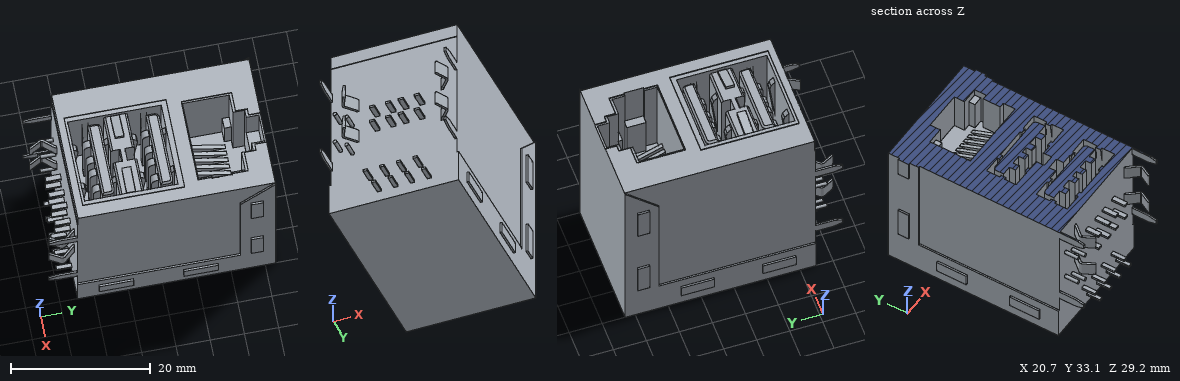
import cadquery as cq


body_width = 20.1
body_height = 28.95
body_length = 28.95
chin_depth = 0.1
chin_length = 2.25
panel_recess = 0.25
panel_height = 23.8
panel_bottom = 5.25
panel_top = 23.85

pad_long = 5.03
pad_short = 1.8
pad_thickness = 0.3
upright_pad_y = 26.2
upright_pad_z = (21.2, 8.4)
lying_pad_y = (18.0, 5.62)
lying_pad_z = 2.85

port_x = 1.0
cavity_depth = 13.23
cavity_floor = body_length - cavity_depth

net_half_width = 5.92
net_bottom = 18.25
net_top = 25.07
step_half_width = 3.18
step_top = 26.8
latch_half_width = 2.05
latch_top = 28.65
latch_depth = 5.82
lip_side = 0.25
lip_narrow = 0.1
lip_bottom = 0.13
lip_top = 0.4
lip_depth = 0.15
corner_block_width = 1.55
corner_block_height = 1.03
block_depth = 8.27
key_bottom = 20.2
key_top = 23.15
key_wall_depth = 0.43
key_block_width = 0.83
key_depth = 6.6
net_contact_count = 8
net_contact_pitch = 1.03
net_contact_width = 0.6
net_contact_end = 24.05
net_contact_rise = 2.3

frame_width = 13.83
frame_bottom = 1.15
frame_top = 16.05
frame_recess = 0.13
usb_width = 12.5
usb_bottom = 1.55
usb_top = 15.22
usb_pitch = 8.55
tip_z = 28.12
tongue_width = 11.08
upper_tongue_bottom = 12.85
tongue_thickness = 1.85
tongue_chamfer = 0.3
tongue_corner = 0.65
divider_bottom = 6.78
divider_top = 10.25
divider_chamfer = 0.3
divider_slot_width = 1.85
divider_web_bottom = 8.0
divider_web_top = 8.85
web_chamfer = 0.15
lug_bottom = 7.75
lug_top = 9.05
lug_inner = 2.45
lug_outer = 6.05
lug_peak = 29.2
lug_low = 28.5
lug_thickness = 0.5
usb_contact_x = (-3.47, -1.0, 1.0, 3.47)
usb_contact_width = 1.05
usb_contact_thickness = 1.03
usb_contact_round = 0.93
usb_contact_z = 26.07
spring_z = 27.05
spring_length = 3.97
side_spring_depth = 0.55
side_spring_width = 0.9
side_spring_y = 12.65
wall_spring_depth = 0.8
wall_spring_lead = 0.63
wall_spring_crest = 1.32
wall_spring_width = 0.9
wall_spring_x = 3.0

root = 0.5
pin_length = 2.25
flat_pin_thickness = 0.33
net_pin_pitch = 1.3
net_pin_width = 0.63
net_pin_z = (4.35, 1.85)
usb_pin_width = 0.75
usb_pin_z = (15.8, 13.15)
led_pin_diameter = 0.55
led_pin_places = ((-8.2, 16.2), (-6.4, 15.12), (-8.2, 11.08), (-6.4, 10.0))
tab_length = 4.15
tab_taper_start = 2.78
tab_thickness = 0.3
tab_width = 1.35
tab_tip_width = 0.65
tab_z = (21.17, 8.45)
clip_thickness = 0.33
clip_width = 2.12
clip_z = (18.55, 12.9)
clip_path = (
    (6.52, root),
    (6.52, 0.05),
    (6.7, -0.3),
    (8.0, -1.8),
    (8.0, -2.12),
    (7.15, -3.7),
)


def block(x_range, y_range, z_range):
    """Box spanning three (low, high) ranges."""
    corners = (x_range, y_range, z_range)
    sizes = [high - low for low, high in corners]
    lows = [low for low, high in corners]
    return cq.Workplane("XY").box(*sizes, centered=False).translate(tuple(lows))


def around(centre, size):
    """Range of the given size about a centre."""
    return (centre - size / 2, centre + size / 2)


def prism_x(points, x_range):
    """Outline of (y, z) points swept along X."""
    low, high = x_range
    return cq.Workplane("YZ", origin=(low, 0, 0)).polyline(points).close().extrude(high - low)


def prism_z(points, z_range):
    """Outline of (x, y) points swept along Z."""
    low, high = z_range
    return cq.Workplane("XY", origin=(0, 0, low)).polyline(points).close().extrude(high - low)


def prism_y(points, y_range):
    """Outline of (x, z) points swept along Y."""
    low, high = y_range
    return cq.Workplane("XZ", origin=(0, high, 0)).polyline(points).close().extrude(high - low)


def mirrored(shape, x=0):
    """The shape and its mirror image about the plane at x."""
    return shape.union(shape.mirror("YZ", (x, 0, 0)))


def net_row(pitch):
    """X places of the network contacts or pins, centred on the port."""
    first = port_x - (net_contact_count - 1) * pitch / 2
    return [first + index * pitch for index in range(net_contact_count)]


def make_housing():
    body = block(around(0, body_width), (0, body_height), (0, body_length))
    chin = block(around(0, body_width), (0, chin_depth), (body_length - chin_length, body_length))
    panel_outline = [
        (0, panel_bottom),
        (panel_height, panel_bottom),
        (panel_height, panel_top),
        (body_height, body_length),
        (0, body_length),
    ]
    panel = prism_x(panel_outline, (body_width / 2 - panel_recess, body_width / 2))
    return body.cut(chin).cut(mirrored(panel))


def make_pads():
    x_range = (body_width / 2 - panel_recess, body_width / 2 + pad_thickness)
    pads = cq.Workplane("XY")
    for z in upright_pad_z:
        pads = pads.union(block(x_range, around(upright_pad_y, pad_short), around(z, pad_long)))
    for y in lying_pad_y:
        pads = pads.union(block(x_range, around(y, pad_long), around(lying_pad_z, pad_short)))
    return mirrored(pads)


def net_outline(side=0, narrow=0, bottom=0, top=0):
    """Stepped opening of the network port, grown by the given amounts."""
    right_half = [
        (net_half_width + side, net_bottom - bottom),
        (net_half_width + side, net_top + top),
        (step_half_width + narrow, net_top + top),
        (step_half_width + narrow, step_top + top),
        (latch_half_width + side, step_top + top),
        (latch_half_width + side, latch_top + top),
    ]
    left_half = [(-x, y) for x, y in reversed(right_half)]
    return [(port_x + x, y) for x, y in right_half + left_half]


def make_net_cavity():
    lip_z = body_length - lip_depth
    lip = prism_z(net_outline(lip_side, lip_narrow, lip_bottom, lip_top), (lip_z, body_length))
    latch_floor = body_length - latch_depth
    shallow = prism_z(net_outline(), (latch_floor, lip_z))
    plug_room = block(around(port_x, 2 * net_half_width), (net_bottom, net_top), (cavity_floor, lip_z))
    step_room = block(around(port_x, 2 * step_half_width), (net_bottom, step_top), (cavity_floor, lip_z))
    wall_x = port_x + net_half_width
    key_slot = block(
        (wall_x, wall_x + key_wall_depth), (key_bottom, key_top), (body_length - key_depth, body_length)
    )
    return lip.union(shallow).union(plug_room).union(step_room).union(key_slot)


def make_net_inserts():
    wall_x = port_x + net_half_width
    corner = block(
        (wall_x - corner_block_width, wall_x),
        (net_top - corner_block_height, net_top),
        (cavity_floor, body_length - block_depth),
    )
    key = block(
        (wall_x - key_block_width, wall_x), (key_bottom, key_top), (cavity_floor, body_length - key_depth)
    )
    inserts = mirrored(corner, port_x).union(key)
    ramp = [
        (net_bottom, cavity_floor),
        (net_contact_end, cavity_floor),
        (net_bottom, cavity_floor + net_contact_rise),
    ]
    for x in net_row(net_contact_pitch):
        inserts = inserts.union(prism_x(ramp, around(x, net_contact_width)))
    return inserts


def make_usb_cavity():
    frame = block(
        around(port_x, frame_width), (frame_bottom, frame_top), (body_length - frame_recess, body_length)
    )
    room = block(around(port_x, usb_width), (usb_bottom, usb_top), (cavity_floor, body_length))
    return frame.union(room)


def make_divider():
    """Bar between the two USB ports, with its web and lugs."""
    divider = block(around(port_x, usb_width), (divider_bottom, divider_top), (cavity_floor, tip_z))
    slot_x = around(port_x, divider_slot_width)
    z_range = (cavity_floor, tip_z)
    divider = divider.edges("|X and >Z").chamfer(divider_chamfer)
    divider = divider.cut(block(slot_x, (divider_bottom, divider_top), z_range))
    web = block(slot_x, (divider_web_bottom, divider_web_top), z_range)
    divider = divider.union(web.edges("|X and >Z and <Y").chamfer(web_chamfer))
    lug_outline = [
        (port_x + lug_inner, lug_peak - lug_thickness),
        (port_x + lug_outer, lug_low - lug_thickness),
        (port_x + lug_outer, lug_low),
        (port_x + lug_inner, lug_peak),
    ]
    return divider.union(mirrored(prism_y(lug_outline, (lug_bottom, lug_top)), port_x))


def make_usb_tongue():
    """Upper tongue with its four rounded contacts."""
    bottom = upper_tongue_bottom
    tongue = block(around(port_x, tongue_width), (bottom, bottom + tongue_thickness), (cavity_floor, tip_z))
    tongue = tongue.edges("|Z and >Y").fillet(tongue_corner)
    tongue = tongue.faces(">Z").chamfer(tongue_chamfer)
    for offset in usb_contact_x:
        contact = block(
            around(port_x + offset, usb_contact_width),
            (bottom - usb_contact_thickness, bottom),
            (cavity_floor, usb_contact_z),
        )
        tongue = tongue.union(contact.edges("|X and >Z and <Y").fillet(usb_contact_round))
    return tongue


def make_side_spring(y):
    """Wedge bulging from the +X wall of a port."""
    wall = port_x + usb_width / 2
    outline = [
        (wall, spring_z),
        (wall - side_spring_depth, spring_z - spring_length),
        (wall, spring_z - 2 * spring_length),
    ]
    return prism_y(outline, around(y, side_spring_width))


def make_wall_spring(wall, direction):
    """Bulge from the wall at y = wall, pointing along +Y (1) or -Y (-1)."""
    outline = [
        (wall, spring_z),
        (wall + direction * wall_spring_lead, spring_z - wall_spring_lead),
        (wall + direction * wall_spring_depth, spring_z - wall_spring_crest),
        (wall, spring_z - 2 * spring_length),
    ]
    return prism_x(outline, around(port_x + wall_spring_x, wall_spring_width))


def make_springs():
    """Contact springs on all walls of the upper and lower USB ports."""
    springs = cq.Workplane("XY")
    for drop in (0, usb_pitch):
        springs = springs.union(make_side_spring(side_spring_y - drop))
    for wall in (usb_bottom, divider_top):
        springs = springs.union(make_wall_spring(wall, 1))
    for wall in (usb_top, divider_bottom):
        springs = springs.union(make_wall_spring(wall, -1))
    return mirrored(springs, port_x)


def make_signal_pins():
    pins = cq.Workplane("XY")
    y_range = (-pin_length, root)
    for index, x in enumerate(net_row(net_pin_pitch)):
        z = net_pin_z[index % 2]
        pins = pins.union(block(around(x, net_pin_width), y_range, around(z, flat_pin_thickness)))
    for z in usb_pin_z:
        for offset in usb_contact_x:
            x_range = around(port_x + offset, usb_pin_width)
            pins = pins.union(block(x_range, y_range, around(z, flat_pin_thickness)))
    led_pins = (
        cq.Workplane("XZ", origin=(0, root, 0))
        .pushPoints(led_pin_places)
        .circle(led_pin_diameter / 2)
        .extrude(root + pin_length)
    )
    return pins.union(led_pins)


def make_ground_tabs():
    outer_x = body_width / 2 - panel_recess
    tabs = cq.Workplane("XY")
    for z in tab_z:
        low, high = around(z, tab_width)
        tip_low, tip_high = around(z, tab_tip_width)
        outline = [
            (root, low),
            (root, high),
            (-tab_taper_start, high),
            (-tab_length, tip_high),
            (-tab_length, tip_low),
            (-tab_taper_start, low),
        ]
        tabs = tabs.union(prism_x(outline, (outer_x - tab_thickness, outer_x)))
    return mirrored(tabs)


def make_board_clips():
    centre_line = cq.Workplane("XY").polyline([(port_x + x, y) for x, y in clip_path])
    strip = centre_line.offset2D(clip_thickness / 2).extrude(clip_width)
    clips = cq.Workplane("XY")
    for z in clip_z:
        clips = clips.union(strip.translate((0, 0, z - clip_width / 2)))
    return mirrored(clips, port_x)


upper_tongue = make_usb_tongue()
result = (
    make_housing()
    .cut(make_net_cavity())
    .cut(make_usb_cavity())
    .union(make_pads())
    .union(make_net_inserts())
    .union(make_divider())
    .union(upper_tongue)
    .union(upper_tongue.translate((0, -usb_pitch, 0)))
    .union(make_springs())
    .union(make_signal_pins())
    .union(make_ground_tabs())
    .union(make_board_clips())
)